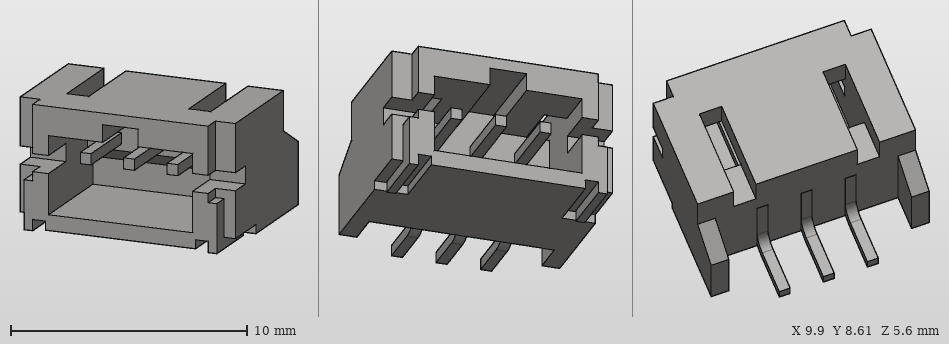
import cadquery as cq
import math

width = 9.9
half_width = width / 2
top_z = 5.6
base_z = 0.1
body_depth = 6.01

notch_width = 0.91
notch_depth = 0.8
side_slot_depth = 1.89
side_slot_low_z = 2.62
side_slot_high_z = 3.43

cavity_width = 6.62
cavity_floor_z = 0.8
cavity_roof_z = 4.31
cavity_depth = 4.24
undercut_low_z = 2.05
undercut_depth = side_slot_low_z - undercut_low_z
key_width = 1.63
key_top_z = 5.09

roof_slot_width = 1.01
roof_slot_front_y = 1.99

lug_width = 0.8
lug_back_y = 7.6
lug_slope_low_z = 2.9
lug_slope_high_z = 3.81

recess_width = 1.49
recess_depth = 3.01
tab_thickness = 0.4
tab_height = 2.22
tab_length = 2.91
tab_foot_height = 0.5

pin_pitch = 2.0
pin_size = 0.495
pin_tip_y = 0.94
pin_tail_y = 8.61
pin_tail_length = 2.0
pin_bend_radius = 0.59
pin_top_z = side_slot_high_z


def block(x_range, y_range, z_range):
    """Box spanning the given (low, high) ranges."""
    sizes = [high - low for low, high in (x_range, y_range, z_range)]
    corner = (x_range[0], y_range[0], z_range[0])
    return cq.Workplane("XY").box(*sizes, centered=False).translate(corner)


def extrude_profile(outline, x_start, x_end):
    """Extrude a closed YZ profile from x_start to x_end."""
    return outline.extrude(x_end - x_start).translate((x_start, 0, 0))


def both_sides(shape):
    """The shape together with its mirror image across the YZ plane."""
    return shape.union(shape.mirror("YZ"))


def make_housing():
    housing = block((-half_width, half_width), (0, body_depth), (base_z, top_z))
    lug_outline = cq.Workplane("YZ").polyline([
        (body_depth, base_z),
        (lug_back_y, base_z),
        (lug_back_y, lug_slope_low_z),
        (body_depth, lug_slope_high_z),
    ]).close()
    lug = extrude_profile(lug_outline, half_width - lug_width, half_width)
    return housing.union(both_sides(lug))


def make_cavity():
    """Mating opening with a sloping undercut in its back face and a key slot in its roof."""
    half_cavity = cavity_width / 2
    outline = cq.Workplane("YZ").polyline([
        (0, cavity_floor_z),
        (cavity_depth + undercut_depth, cavity_floor_z),
        (cavity_depth + undercut_depth, undercut_low_z),
        (cavity_depth, side_slot_low_z),
        (cavity_depth, cavity_roof_z),
        (0, cavity_roof_z),
    ]).close()
    cavity = extrude_profile(outline, -half_cavity, half_cavity)
    key = block((-key_width / 2, key_width / 2), (0, cavity_depth), (cavity_floor_z, key_top_z))
    return cavity.union(key)


def make_side_cuts():
    """Corner notch, side slot, roof slot and tab recess, on both sides."""
    half_cavity = cavity_width / 2
    notch = block((half_width - notch_width, half_width), (0, notch_depth), (base_z, top_z))
    side_slot = block((half_cavity, half_width), (0, side_slot_depth),
                      (side_slot_low_z, side_slot_high_z))
    roof_slot = block((half_cavity - roof_slot_width, half_cavity),
                      (roof_slot_front_y, body_depth), (cavity_roof_z, top_z))
    recess = block((half_width - recess_width, half_width), (0, recess_depth),
                   (base_z, tab_foot_height))
    return both_sides(notch.union(side_slot).union(roof_slot).union(recess))


def make_tabs():
    """L-shaped solder tabs against the inner faces of the corner notches."""
    outline = cq.Workplane("YZ").polyline([
        (0, 0),
        (tab_length, 0),
        (tab_length, tab_foot_height),
        (notch_depth, tab_foot_height),
        (notch_depth, tab_height),
        (0, tab_height),
    ]).close()
    inner_x = half_width - notch_width
    return both_sides(extrude_profile(outline, inner_x, inner_x + tab_thickness))


def make_pin(center_x):
    """Contact running from the cavity into the back wall, down it and out to a flat tail."""
    bend_y = pin_tail_y - pin_tail_length
    outer_radius = pin_bend_radius + pin_size
    riser_front_y = bend_y - outer_radius
    riser_back_y = riser_front_y + pin_size
    diagonal = math.cos(math.radians(45))
    outer_mid = (bend_y - outer_radius * diagonal, outer_radius * (1 - diagonal))
    inner_mid = (bend_y - pin_bend_radius * diagonal, outer_radius - pin_bend_radius * diagonal)
    outline = (
        cq.Workplane("YZ")
        .moveTo(pin_tail_y, 0)
        .lineTo(bend_y, 0)
        .threePointArc(outer_mid, (riser_front_y, outer_radius))
        .lineTo(riser_front_y, pin_top_z - pin_size)
        .lineTo(pin_tip_y, pin_top_z - pin_size)
        .lineTo(pin_tip_y, pin_top_z)
        .lineTo(riser_back_y, pin_top_z)
        .lineTo(riser_back_y, outer_radius)
        .threePointArc(inner_mid, (bend_y, pin_size))
        .lineTo(pin_tail_y, pin_size)
        .close()
    )
    return extrude_profile(outline, center_x - pin_size / 2, center_x + pin_size / 2)


result = make_housing().cut(make_cavity()).cut(make_side_cuts()).union(make_tabs())
for pin_x in (-pin_pitch, 0, pin_pitch):
    result = result.union(make_pin(pin_x))